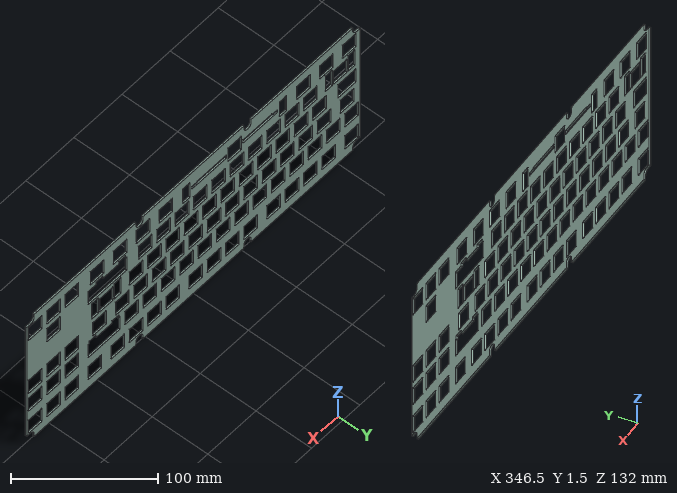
import cadquery as cq

plate_length = 346.5
plate_height = 132.0
plate_thickness = 1.5

notch_width = 7.3
notch_depth = 7.0
notch_offset = 56.0
corner_notch_width = 7.5
corner_notch_height = 7.3
corner_radius = 4.0

key_pitch = 19.0
key_opening = 14.0
layout_columns = 18.25
close_row_steps = 4
row_gap = 1.25

stabilizer_offset = 11.8
stabilizer_width = 7.0
stabilizer_top = 9.5
space_stabilizer_offset = 50.3
space_stabilizer_width = 7.3
space_stabilizer_top = key_opening / 2
space_stabilizer_bottom = -8.5

wire_inner = 8.5
wire_step = 38.8
wire_outer = 44.5
wire_bottom = -1.7
wire_top = 1.5
wire_step_top = 0.5

layout_height = (close_row_steps + row_gap) * key_pitch
space_row = layout_height / 2
shift_row = space_row - key_pitch
caps_row = shift_row - key_pitch
tab_row = caps_row - key_pitch
number_row = tab_row - key_pitch
function_row = number_row - row_gap * key_pitch


def key_run(first, count):
    """Columns of neighbouring one-unit keys."""
    return [first + step for step in range(count)]


def column_x(column):
    """X of a column, with the layout centred on the plate."""
    return (column - layout_columns / 2) * key_pitch


def box(left, right, bottom, top):
    """Rectangular cutter through the plate thickness."""
    return cq.Workplane("XY").box(right - left, 2 * plate_thickness, top - bottom).translate(
        ((left + right) / 2, 0, (bottom + top) / 2)
    )


def key_cutter(first_column, last_column, row):
    """One opening from the first key position to the last."""
    half = key_opening / 2
    return box(column_x(first_column) - half, column_x(last_column) + half, row - half, row + half)


def stabilizer_cutters(column, row, offset, width, bottom, top):
    """Two openings at equal distances from the centre of a wide key."""
    centers = [column_x(column) - offset, column_x(column) + offset]
    return [box(x - width / 2, x + width / 2, row + bottom, row + top) for x in centers]


def wire_cutters(column, row):
    """Two mirrored slots, each thinner at its outer end."""
    cutters = []
    for side in (-1, 1):
        profile = [
            (wire_inner, wire_bottom),
            (wire_outer, wire_bottom),
            (wire_outer, wire_step_top),
            (wire_step, wire_step_top),
            (wire_step, wire_top),
            (wire_inner, wire_top),
        ]
        points = [(column_x(column) + side * x, row + z) for x, z in profile]
        cutters.append(cq.Workplane("XZ").polyline(points).close().extrude(plate_thickness, both=True))
    return cutters


def edge_notch_cutter(x, side):
    """Round-ended notch open to the upper (side 1) or lower (side -1) edge."""
    radius = notch_width / 2
    edge = side * plate_height / 2
    arc_start = edge - side * (notch_depth - radius)
    return (
        cq.Workplane("XZ")
        .moveTo(x - radius, edge)
        .lineTo(x - radius, arc_start)
        .threePointArc((x, edge - side * notch_depth), (x + radius, arc_start))
        .lineTo(x + radius, edge)
        .close()
        .extrude(plate_thickness, both=True)
    )


def corner_notch_cutter(side_x, side_z):
    """Rectangular corner notch with a rounded inner corner."""
    return (
        cq.Workplane("XY")
        .box(2 * corner_notch_width, 2 * plate_thickness, 2 * corner_notch_height)
        .edges("|Y")
        .fillet(corner_radius)
        .translate((side_x * plate_length / 2, 0, side_z * plate_height / 2))
    )


space_column = 6.875
navigation_columns = key_run(15.75, 3)
single_keys = {
    function_row: [0.5] + key_run(1.75, 4) + key_run(6, 4) + key_run(10.25, 4) + [14.5] + navigation_columns,
    number_row: key_run(0.5, 13) + navigation_columns,
    tab_row: [0.75] + key_run(2, 12) + [14.25] + navigation_columns,
    caps_row: key_run(2.25, 11) + [13.875],
    shift_row: [1.125] + key_run(2.75, 10) + [16.75],
    space_row: [0.625, 1.875, 3.125, space_column, 10.625, 11.875, 13.125, 14.375] + navigation_columns,
}

wide_openings = [
    (13.5, 14.5, number_row),
    (0.625, 0.875, caps_row),
    (13.125, 14.5, shift_row),
]

stabilized_keys = [
    (14, number_row),
    (13.875, caps_row),
    (1.125, shift_row),
    (13.625, shift_row),
]
cutters = []
for row, columns in single_keys.items():
    cutters += [key_cutter(column, column, row) for column in columns]

for first_column, last_column, row in wide_openings:
    cutters.append(key_cutter(first_column, last_column, row))

for column, row in stabilized_keys:
    cutters += stabilizer_cutters(
        column, row, stabilizer_offset, stabilizer_width, -key_opening / 2, stabilizer_top
    )

cutters += stabilizer_cutters(
    space_column,
    space_row,
    space_stabilizer_offset,
    space_stabilizer_width,
    space_stabilizer_bottom,
    space_stabilizer_top,
)
cutters += wire_cutters(space_column, space_row)

for side_z in (-1, 1):
    for side_x in (-1, 1):
        cutters.append(edge_notch_cutter(side_x * notch_offset, side_z))
        cutters.append(corner_notch_cutter(side_x, side_z))

result = cq.Workplane("XY").box(plate_length, plate_thickness, plate_height)
for cutter in cutters:
    result = result.cut(cutter)